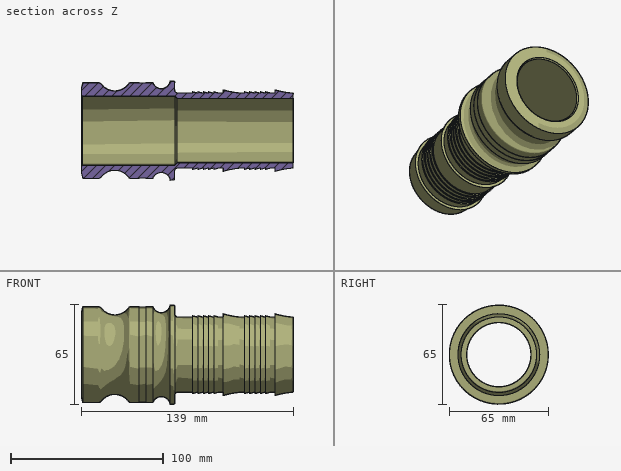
import cadquery as cq
import math

length = 139.0

body_radius = 63.0 / 2
band_radius = 62.5 / 2
flange_radius = 65.0 / 2
tube_radius = 49.5 / 2
socket_radius = 45.0 / 2
bore_radius = 42.0 / 2
tooth_radius = 25.6
barb_radius = 26.8

face_radius = 28.0
face_cone_length = 1.0

cam_center = 22.0
cam_floor = 26.1
cam_arc = 11.1
cam_left_blend = 2.8
cam_right_blend = 1.4

band_start = 37.7
band_end = 42.4

relief_center = 52.4
relief_floor = 27.59
relief_arc = 5.8

flange_end = 61.3
flange_round = 1.0
flange_fillet = 1.8

group_starts = (73.0, 106.9)
tooth_count = 5
tooth_pitch = 3.5
tooth_length = 2.9
barb_offset = 20.0
barb_length = 10.8
barb_sag = 0.3
tail_round = 0.8

entry_radius = 23.4
entry_depth = 0.8
socket_depth = flange_end
socket_taper = socket_radius - bore_radius


def arc_half_width(arc_radius, floor_radius, radius):
    """Half width of a round groove where it reaches the given radius."""
    rise = floor_radius + arc_radius - radius
    return math.sqrt(arc_radius**2 - rise**2)


def cam_blend(blend, side):
    """Start, middle and end of the rounded cam groove edge; side is -1 or 1."""
    center_y = body_radius - blend
    rise = cam_floor + cam_arc - center_y
    angle = math.asin(rise / (cam_arc + blend))
    run = (cam_arc + blend) * math.cos(angle)
    center_x = cam_center + side * run
    middle_angle = (angle + math.pi / 2) / 2

    def on_blend(direction):
        x = center_x - side * blend * math.cos(direction)
        return x, center_y + blend * math.sin(direction)

    return on_blend(math.pi / 2), on_blend(middle_angle), on_blend(angle)


def add_coupling(profile):
    """Outline from the end face to the back of the flange."""
    left_top, left_middle, left_foot = cam_blend(cam_left_blend, -1)
    right_top, right_middle, right_foot = cam_blend(cam_right_blend, 1)
    relief_left = relief_center - arc_half_width(relief_arc, relief_floor, body_radius)
    relief_right = relief_center + arc_half_width(relief_arc, relief_floor, flange_radius)
    fillet_middle = flange_fillet * (1 - math.sqrt(0.5))
    round_middle = flange_round * (1 - math.sqrt(0.5))
    return (
        profile.lineTo(0, face_radius)
        .lineTo(face_cone_length, body_radius)
        .lineTo(*left_top)
        .threePointArc(left_middle, left_foot)
        .threePointArc((cam_center, cam_floor), right_foot)
        .threePointArc(right_middle, right_top)
        .lineTo(band_start, body_radius)
        .lineTo(band_start, band_radius)
        .lineTo(band_end, band_radius)
        .lineTo(band_end, body_radius)
        .lineTo(relief_left, body_radius)
        .threePointArc((relief_center, relief_floor), (relief_right, flange_radius))
        .lineTo(flange_end - flange_round, flange_radius)
        .threePointArc(
            (flange_end - round_middle, flange_radius - round_middle),
            (flange_end, flange_radius - flange_round),
        )
        .lineTo(flange_end, tube_radius + flange_fillet)
        .threePointArc(
            (flange_end + fillet_middle, tube_radius + fillet_middle),
            (flange_end + flange_fillet, tube_radius),
        )
    )


def add_barb_group(profile, start):
    """Five saw teeth followed by a large barb with a hollow taper."""
    for index in range(tooth_count):
        tooth_start = start + index * tooth_pitch
        profile = (
            profile.lineTo(tooth_start, tube_radius)
            .lineTo(tooth_start, tooth_radius)
            .lineTo(tooth_start + tooth_length, tube_radius)
        )
    barb_start = start + barb_offset
    middle = (barb_start + barb_length / 2, (barb_radius + tube_radius) / 2 - barb_sag)
    return (
        profile.lineTo(barb_start, tube_radius)
        .lineTo(barb_start, barb_radius)
        .threePointArc(middle, (barb_start + barb_length, tube_radius))
    )


def add_bore(profile):
    """Rounded tail edge, through bore, wider socket and entry chamfer."""
    round_middle = tail_round * (1 - math.sqrt(0.5))
    return (
        profile.lineTo(length - tail_round, tube_radius)
        .threePointArc(
            (length - round_middle, tube_radius - round_middle),
            (length, tube_radius - tail_round),
        )
        .lineTo(length, bore_radius)
        .lineTo(socket_depth + socket_taper, bore_radius)
        .lineTo(socket_depth, socket_radius)
        .lineTo(entry_depth, socket_radius)
        .close()
    )


profile = add_coupling(cq.Workplane("XY").moveTo(0, entry_radius))
for group_start in group_starts:
    profile = add_barb_group(profile, group_start)
profile = add_bore(profile)

result = profile.revolve(360, (0, 0, 0), (1, 0, 0))